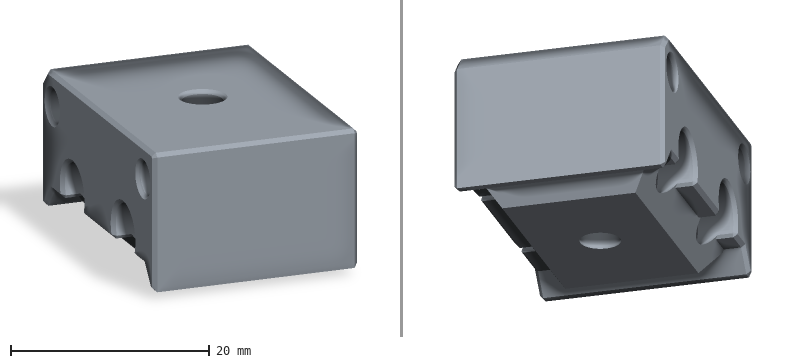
import cadquery as cq
import math

length = 30.8
width = 22.19
body_height = 14.7
total_height = 15.52
edge_chamfer = 0.4

axis_y = 0.28

bevel_run = 1.5
bevel_drop = 1.67

leg_sole_width = 0.9
recess_height = 2.22
leg_flank_angle = 39

foot_bottom_length = 21.9
foot_bottom_width = 14.03
foot_flank_angle = 35

edge_hole_diameter = 3.4
edge_hole_x = 12.47
edge_hole_z = body_height - 3.5
screw_hole_diameter = 3.4
screw_x = 7.0
screw_z = body_height - 10.9
counterbore_diameter = 6.0
counterbore_depth = 4.1
center_hole_diameter = 4.2


def holes_along_y(diameter, offset_x, z, depth):
    """Pair of round cutters running from the -Y face, mirrored about X = 0."""
    return (
        cq.Workplane("XZ", origin=(0, -width / 2, z))
        .pushPoints([(-offset_x, 0), (offset_x, 0)])
        .circle(diameter / 2)
        .extrude(-depth)
    )


def make_block():
    """Outer block with the upper bevel, the legs and the recessed underside."""
    half = length / 2
    sole_x = half - leg_sole_width
    recess_x = sole_x - recess_height * math.tan(math.radians(leg_flank_angle))
    profile = [
        (-half, 0),
        (-half, body_height - bevel_drop),
        (-half + bevel_run, body_height),
        (half - edge_chamfer, body_height),
        (half, body_height - edge_chamfer),
        (half, 0),
        (sole_x, 0),
        (recess_x, recess_height),
        (-recess_x, recess_height),
        (-sole_x, 0),
    ]
    return cq.Workplane("XZ").polyline(profile).close().extrude(width / 2, both=True)


def make_foot():
    """Foot whose flanks spread with height, rooted past the chamfers of the recessed underside."""
    foot_bottom_z = body_height - total_height
    foot_height = recess_height + edge_chamfer - foot_bottom_z
    spread = foot_height * math.tan(math.radians(foot_flank_angle))
    return (
        cq.Workplane("XY", origin=(0, axis_y, foot_bottom_z))
        .rect(foot_bottom_length, foot_bottom_width)
        .workplane(offset=foot_height)
        .rect(foot_bottom_length + 2 * spread, foot_bottom_width + 2 * spread)
        .loft(ruled=True)
    )


def make_center_hole():
    """Vertical through hole with a chamfered mouth on the top face."""
    radius = center_hole_diameter / 2
    mouth = cq.Vector(0, axis_y, body_height)
    down = cq.Vector(0, 0, -1)
    drill = cq.Workplane(cq.Solid.makeCylinder(radius, total_height, mouth, down))
    countersink = cq.Solid.makeCone(radius + edge_chamfer, radius, edge_chamfer, mouth, down)
    return drill.union(cq.Workplane(countersink))


edge_holes = holes_along_y(edge_hole_diameter, edge_hole_x, edge_hole_z, width)
screw_holes = holes_along_y(screw_hole_diameter, screw_x, screw_z, width)
counterbores = holes_along_y(counterbore_diameter, screw_x, screw_z, counterbore_depth)

bore_edge_box = cq.selectors.BoxSelector(
    (-screw_x - counterbore_diameter / 2, -width / 2, recess_height - edge_chamfer),
    (screw_x + counterbore_diameter / 2, 0, recess_height + edge_chamfer),
)

body = make_block().cut(edge_holes).cut(counterbores)
end_edges = body.faces("<Y or >Y").edges()
bore_edges = body.edges("|Y").edges(bore_edge_box)
body = end_edges.add(bore_edges).chamfer(edge_chamfer)

result = body.union(make_foot()).cut(counterbores).cut(screw_holes).cut(make_center_hole())